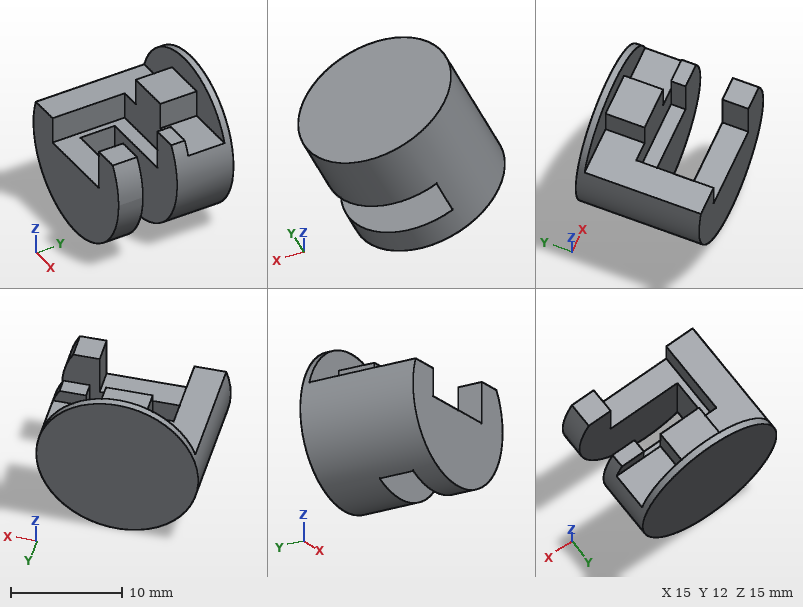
import cadquery as cq

diameter = 15.0
radius = diameter / 2
length = 12.0

flange_thickness = 0.69
flange_front = length - flange_thickness

shelf_height = 2.5
key_width = 4.32
key_top = 5.2
key_length = 3.8
key_front = flange_front - key_length

recess_left = -4.11
recess_right = 4.0
recess_floor = -0.18
post_top = 3.81

slot_front = 2.54
slot_width = 3.57
slot_left = -3.48


def box_between(x_range, y_range, z_range):
    """Axis-aligned box given by its limits along X, Y and Z."""
    sizes = [high - low for low, high in (x_range, y_range, z_range)]
    corner = (x_range[0], y_range[0], z_range[0])
    return cq.Workplane("XY").box(*sizes, centered=False).translate(corner)


def make_body():
    """Cylinder cut down to the shelf everywhere except at the flange and post."""
    cylinder = cq.Workplane("XZ").circle(radius).extrude(-length)
    above_shelf = box_between((-radius, radius), (0, flange_front), (shelf_height, radius))
    post_space = box_between((recess_right, radius), (0, key_front), (shelf_height, post_top))
    return cylinder.cut(above_shelf.cut(post_space))


def make_key():
    return box_between(
        (-key_width / 2, key_width / 2), (key_front, flange_front), (shelf_height, key_top)
    )


def make_recess():
    return box_between((recess_left, recess_right), (0, key_front), (recess_floor, radius))


def make_slot():
    return box_between(
        (slot_left, radius), (slot_front, slot_front + slot_width), (-radius, radius)
    )


result = make_body().union(make_key()).cut(make_recess()).cut(make_slot())